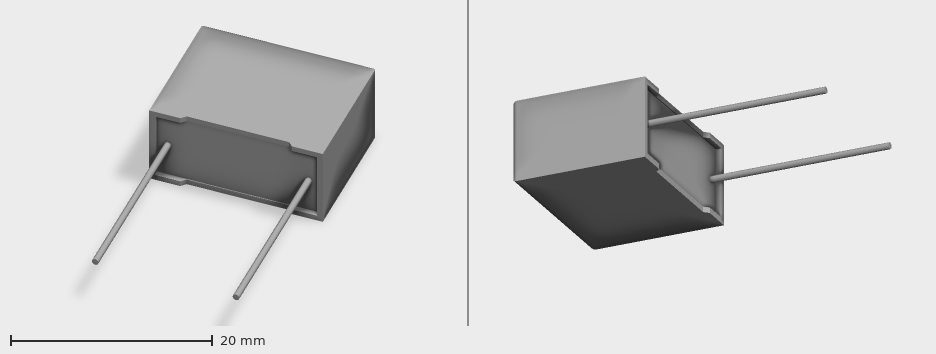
import cadquery as cq


case_width = 18.5
case_depth = 14.6
case_height = 8.71
wall = 0.6
closed_end_radius = 0.6

notch_depth = 0.5
notch_width_at_rim = 11.9
notch_width_at_floor = notch_width_at_rim - 2 * notch_depth

fill_recess = 0.6
fill_depth = case_depth - wall - fill_recess
cavity_width = case_width - 2 * wall
cavity_height = case_height - 2 * wall

lead_spacing = 15.0
lead_diameter = 0.7
lead_overhang = 19.0
lead_length = lead_overhang + fill_recess


def block(width, depth, height, front):
    """Box centred on X and Z that runs from y = front towards +Y."""
    return cq.Workplane("XY").box(width, depth, height, centered=(True, False, True)).translate((0, front, 0))


def make_rim_notch():
    """Trapezoidal prism that notches both long rims in one cut."""
    return (
        cq.Workplane("XY")
        .polyline([
            (-notch_width_at_rim / 2, 0),
            (notch_width_at_rim / 2, 0),
            (notch_width_at_floor / 2, notch_depth),
            (-notch_width_at_floor / 2, notch_depth),
        ])
        .close()
        .extrude(case_height / 2, both=True)
    )


def make_case():
    """Box open towards -Y, rounded around its closed end."""
    shell = block(case_width, case_depth, case_height, 0).faces(">Y").edges().fillet(closed_end_radius)
    cavity = block(cavity_width, case_depth - wall, cavity_height, 0)
    return shell.cut(cavity).cut(make_rim_notch())


def make_fill():
    """Potting block that fills the cavity up to just below the rim."""
    return block(cavity_width, fill_depth, cavity_height, fill_recess)


def make_lead(x):
    """Round wire that starts on the face of the fill and runs towards -Y."""
    return (
        cq.Workplane("XZ", origin=(x, fill_recess, 0))
        .circle(lead_diameter / 2)
        .extrude(lead_length)
    )


case = make_case()
fill = make_fill()
leads = [make_lead(side * lead_spacing / 2) for side in (-1, 1)]

result = cq.Compound.makeCompound([case.val(), fill.val(), *[lead.val() for lead in leads]])